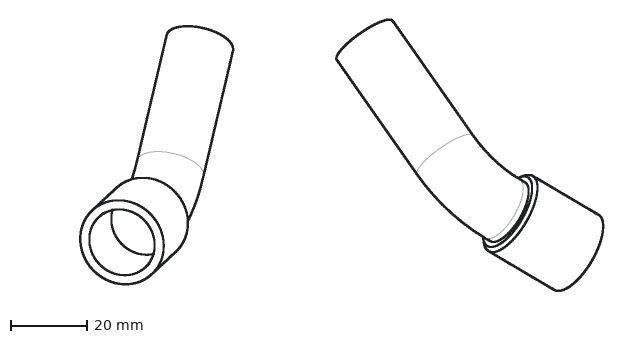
import cadquery as cq
import math

SOCKET_DIAMETER = 23.0
SOCKET_LENGTH = 23.0
SOCKET_CHAMFER = 1.0
BORE_DIAMETER = 18.0
BORE_DEPTH = 20.0

SPIGOT_DIAMETER = 18.0
NECK_LENGTH = 1.8
BEND_RADIUS = 1.5 * SPIGOT_DIAMETER
BEND_ANGLE = 45.0
LEG_LENGTH = 38.0

BEND_START = SOCKET_LENGTH + NECK_LENGTH


def disc(diameter, y):
    """Circle centred on the Y axis at the given y, facing +Y."""
    plane = cq.Plane(origin=(0, y, 0), xDir=(1, 0, 0), normal=(0, 1, 0))
    return cq.Workplane(plane).circle(diameter / 2)


def bend_point(angle):
    """(y, z) on the bend centre line after turning by angle degrees."""
    turn = math.radians(angle)
    y = BEND_START + BEND_RADIUS * math.sin(turn)
    z = BEND_RADIUS * (1 - math.cos(turn))
    return y, z


def make_socket():
    """Socket body with its rear outer edge chamfered."""
    body = disc(SOCKET_DIAMETER, 0).extrude(SOCKET_LENGTH)
    return body.faces(">Y").edges().chamfer(SOCKET_CHAMFER)


def make_bore():
    """Blind bore entering the socket from its open end."""
    return disc(BORE_DIAMETER, 0).extrude(BORE_DEPTH)


def make_spigot():
    """Solid rod swept from the back of the socket along neck, bend and leg."""
    bend_end_y, bend_end_z = bend_point(BEND_ANGLE)
    turn = math.radians(BEND_ANGLE)
    leg_end_y = bend_end_y + LEG_LENGTH * math.cos(turn)
    leg_end_z = bend_end_z + LEG_LENGTH * math.sin(turn)
    path = (
        cq.Workplane("YZ")
        .moveTo(SOCKET_LENGTH, 0)
        .lineTo(BEND_START, 0)
        .threePointArc(bend_point(BEND_ANGLE / 2), (bend_end_y, bend_end_z))
        .lineTo(leg_end_y, leg_end_z)
    )
    return disc(SPIGOT_DIAMETER, SOCKET_LENGTH).sweep(path)


result = make_socket().union(make_spigot()).cut(make_bore())